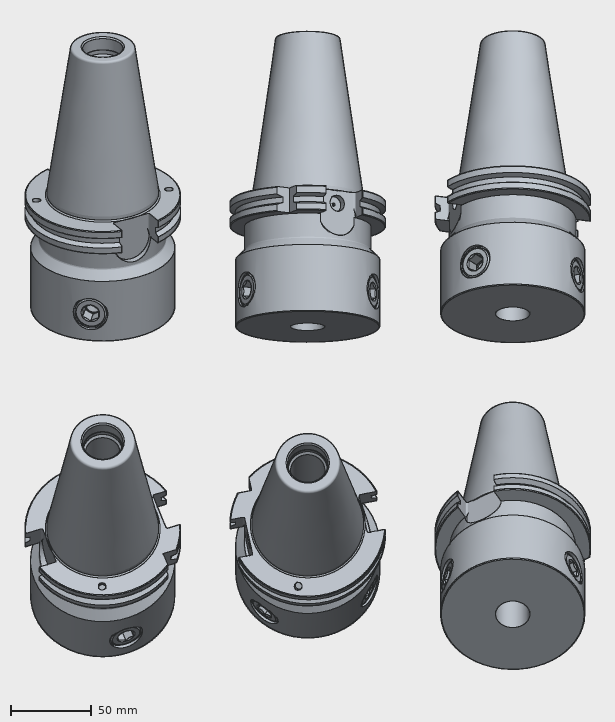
import cadquery as cq
import math

CLEARANCE = 1.8
TOLERANCE = 0.02

TOTAL_HEIGHT = 184.6
GAUGE_HEIGHT = 82.9
FLANGE_TOP = 79.7
FLANGE_BOTTOM = 63.9
GROOVE_HEIGHT = 71.6
BODY_TOP = 42.6

TAPER_RADIUS = 34.9
TAPER_SLOPE = 7 / 48
FLANGE_RADIUS = 48.65
NECK_RADIUS = 39.5
BODY_RADIUS = 45.0
GROOVE_DEPTH = 3.3
GROOVE_FLOOR_HALF = 1.75
GROOVE_MOUTH_HALF = 3.3
SHOULDER_BASE = BODY_TOP + BODY_RADIUS - NECK_RADIUS
EDGE_CHAMFER = 0.5
TIP_FILLET = 1.7
COLLAR_FILLET = 1.0
SHOULDER_FILLET = 1.1

BORE_RADIUS = 10.7
MOUTH_RADIUS = 12.5
MOUTH_CHAMFER = 1.0
MOUTH_DEPTH = 8.9
STEP_RADIUS = 12.2
STEP_DEPTH = 11.6

SLOT_HALF_WIDTH = 13.0
SLOT_FLOOR_LEFT = 37.7
SLOT_FLOOR_RIGHT = 35.3
SLOT_FILLET = 1.1
SLOT_EDGE_CHAMFER = 0.4
POCKET_RADIUS = 5.08
POCKET_DEPTH = 4.6
PILOT_RADIUS = 1.0
PILOT_DEPTH = 1.8

NOTCH_CORNER = 29.5

COOLANT_RADIUS = 2.4
COOLANT_CIRCLE = 41.9
COOLANT_ANGLES = (70, 250)
COOLANT_TILT = 25
COOLANT_DEPTH = 11.0

SCREW_ANGLES = (90, 220, 320)
SCREW_HEIGHT = 19.0
SCREW_RADIUS = 10.0
SCREW_LENGTH = 18.5
SCREW_FACE = 43.8
SCREW_CHAMFER = 1.0
SEAT_MOUTH_RADIUS = 10.9
HEX_ACROSS_FLATS = 10.0
HEX_DEPTH = 9.6
CORE_DEPTH = 10.9
CORE_POINT_ANGLE = 118
HEX_LEAD_RADIUS = 5.9


def rounded(shape, radius, height, fillet):
    """Fillet the circular edge that lies at a given height within a given radius."""
    reach = radius + TOLERANCE
    ring = cq.selectors.BoxSelector(
        (-reach, -reach, height - TOLERANCE), (reach, reach, height + TOLERANCE), True
    )
    return shape.edges(ring).fillet(fillet)


def turned_blank():
    """Taper, flange, neck and cylindrical body as one revolved shape."""
    tip_radius = TAPER_RADIUS - (TOTAL_HEIGHT - GAUGE_HEIGHT) * TAPER_SLOPE
    c = EDGE_CHAMFER
    profile = [
        (0, 0),
        (BODY_RADIUS - c, 0),
        (BODY_RADIUS, c),
        (BODY_RADIUS, BODY_TOP),
        (NECK_RADIUS, SHOULDER_BASE),
        (NECK_RADIUS, FLANGE_BOTTOM),
        (FLANGE_RADIUS - c, FLANGE_BOTTOM),
        (FLANGE_RADIUS, FLANGE_BOTTOM + c),
        (FLANGE_RADIUS, GROOVE_HEIGHT - GROOVE_MOUTH_HALF),
        (FLANGE_RADIUS - GROOVE_DEPTH, GROOVE_HEIGHT - GROOVE_FLOOR_HALF),
        (FLANGE_RADIUS - GROOVE_DEPTH, GROOVE_HEIGHT + GROOVE_FLOOR_HALF),
        (FLANGE_RADIUS, GROOVE_HEIGHT + GROOVE_MOUTH_HALF),
        (FLANGE_RADIUS, FLANGE_TOP - c),
        (FLANGE_RADIUS - c, FLANGE_TOP),
        (TAPER_RADIUS, FLANGE_TOP),
        (TAPER_RADIUS, GAUGE_HEIGHT),
        (tip_radius, TOTAL_HEIGHT),
        (0, TOTAL_HEIGHT),
    ]
    blank = cq.Workplane("XZ").polyline(profile).close().revolve(360, (0, 0), (0, 1))

    blank = rounded(blank, tip_radius, TOTAL_HEIGHT, TIP_FILLET)
    blank = rounded(blank, NECK_RADIUS, SHOULDER_BASE, SHOULDER_FILLET)
    return rounded(blank, TAPER_RADIUS, FLANGE_TOP, COLLAR_FILLET)


def axial_bore():
    """Stepped through bore with a chamfered mouth at the taper's small end."""
    profile = [
        (0, 0),
        (BORE_RADIUS, 0),
        (BORE_RADIUS, TOTAL_HEIGHT - STEP_DEPTH - (STEP_RADIUS - BORE_RADIUS)),
        (STEP_RADIUS, TOTAL_HEIGHT - STEP_DEPTH),
        (STEP_RADIUS, TOTAL_HEIGHT - MOUTH_DEPTH),
        (MOUTH_RADIUS, TOTAL_HEIGHT - MOUTH_DEPTH),
        (MOUTH_RADIUS, TOTAL_HEIGHT - MOUTH_CHAMFER),
        (MOUTH_RADIUS + MOUTH_CHAMFER, TOTAL_HEIGHT),
        (0, TOTAL_HEIGHT),
    ]
    return cq.Workplane("XZ").polyline(profile).close().revolve(360, (0, 0), (0, 1))


def drive_slot(side, floor):
    """Round-bottomed slot; side is -1 for -X and +1 for +X."""
    flange_height = FLANGE_TOP - FLANGE_BOTTOM
    depth = FLANGE_RADIUS - floor + CLEARANCE
    channel = (
        cq.Workplane("XY", origin=(floor, 0, FLANGE_BOTTOM))
        .box(depth, 2 * SLOT_HALF_WIDTH, flange_height, centered=(False, True, False))
        .edges("<X and |Z")
        .fillet(SLOT_FILLET)
    )
    round_end = (
        cq.Workplane("YZ", origin=(floor, 0, FLANGE_BOTTOM)).circle(SLOT_HALF_WIDTH).extrude(depth)
    )
    mouth_half = SLOT_HALF_WIDTH + SLOT_EDGE_CHAMFER
    mouth_x = math.sqrt(FLANGE_RADIUS**2 - mouth_half**2)
    mouth = (
        cq.Workplane("XY", origin=(0, 0, FLANGE_BOTTOM))
        .polyline([
            (mouth_x - SLOT_EDGE_CHAMFER, -SLOT_HALF_WIDTH),
            (mouth_x + CLEARANCE, -mouth_half - CLEARANCE),
            (mouth_x + CLEARANCE, mouth_half + CLEARANCE),
            (mouth_x - SLOT_EDGE_CHAMFER, SLOT_HALF_WIDTH),
        ])
        .close()
        .extrude(flange_height)
    )
    cutter = channel.union(mouth).union(round_end)
    return cutter if side > 0 else cutter.mirror("YZ")


def slot_pocket():
    """Blind hole with a small pilot hole, sunk into the -X slot floor."""
    start = cq.Workplane("YZ", origin=(-SLOT_FLOOR_LEFT, 0, GROOVE_HEIGHT))
    pocket = start.circle(POCKET_RADIUS).extrude(POCKET_DEPTH)
    return pocket.union(start.circle(PILOT_RADIUS).extrude(POCKET_DEPTH + PILOT_DEPTH))


def corner_notch():
    """Square notch through the flange at the (-X, +Y) corner."""
    return cq.Workplane("XY").box(
        FLANGE_RADIUS, FLANGE_RADIUS, FLANGE_TOP - FLANGE_BOTTOM, centered=False
    ).translate((-NOTCH_CORNER - FLANGE_RADIUS, NOTCH_CORNER, FLANGE_BOTTOM))


def coolant_hole(angle):
    """Slanted blind hole that opens on the flange's top face."""
    hole = cq.Workplane("XY").circle(COOLANT_RADIUS).extrude(COOLANT_DEPTH + CLEARANCE)
    return (
        hole.translate((0, 0, -COOLANT_DEPTH))
        .rotate((0, 0, 0), (0, 1, 0), COOLANT_TILT)
        .translate((COOLANT_CIRCLE, 0, FLANGE_TOP))
        .rotate((0, 0, 0), (0, 0, 1), angle)
    )


def placed_radially(shape, angle):
    """Turn a shape built along +X at Z = 0 to its angle and screw height."""
    return shape.translate((0, 0, SCREW_HEIGHT)).rotate((0, 0, 0), (0, 0, 1), angle)


def screw_seat(angle):
    """Blind hole for one clamping screw, counterbored at its mouth."""
    bottom = SCREW_FACE - SCREW_LENGTH
    counterbore_floor = SCREW_FACE - SCREW_CHAMFER
    hole = cq.Workplane("YZ", origin=(bottom, 0, 0)).circle(SCREW_RADIUS).extrude(SCREW_LENGTH)
    counterbore = (
        cq.Workplane("YZ", origin=(counterbore_floor, 0, 0))
        .circle(SEAT_MOUTH_RADIUS)
        .extrude(BODY_RADIUS - counterbore_floor + CLEARANCE)
    )
    return placed_radially(hole.union(counterbore), angle)


def clamping_screw(angle):
    """Grub screw with a hexagon socket in its outer face."""
    hex_radius = HEX_ACROSS_FLATS / 2
    hex_diameter = HEX_ACROSS_FLATS / math.cos(math.radians(30))
    core_floor = SCREW_FACE - CORE_DEPTH
    lead_start = SCREW_FACE - (HEX_LEAD_RADIUS - hex_radius)
    point_depth = hex_radius / math.tan(math.radians(CORE_POINT_ANGLE / 2))
    screw = (
        cq.Workplane("YZ", origin=(SCREW_FACE - SCREW_LENGTH, 0, 0))
        .circle(SCREW_RADIUS)
        .extrude(SCREW_LENGTH)
        .faces(">X")
        .chamfer(SCREW_CHAMFER)
    )
    socket = (
        cq.Workplane("YZ", origin=(SCREW_FACE - HEX_DEPTH, 0, 0))
        .transformed(rotate=(0, 0, 90))
        .polygon(6, hex_diameter)
        .extrude(HEX_DEPTH)
    )
    core = (
        cq.Workplane("XY")
        .polyline([
            (core_floor - point_depth, 0),
            (core_floor, hex_radius),
            (lead_start, hex_radius),
            (SCREW_FACE, HEX_LEAD_RADIUS),
            (SCREW_FACE, 0),
        ])
        .close()
        .revolve(360, (0, 0), (1, 0))
    )
    return placed_radially(screw.cut(socket).cut(core), angle)


def tool_holder():
    holder = turned_blank().cut(axial_bore())
    holder = holder.cut(drive_slot(-1, SLOT_FLOOR_LEFT))
    holder = holder.cut(drive_slot(1, SLOT_FLOOR_RIGHT))
    holder = holder.cut(slot_pocket()).cut(corner_notch())
    for angle in COOLANT_ANGLES:
        holder = holder.cut(coolant_hole(angle))
    for angle in SCREW_ANGLES:
        holder = holder.cut(screw_seat(angle))
    return holder


holder = tool_holder()
screws = [clamping_screw(angle) for angle in SCREW_ANGLES]
result = cq.Compound.makeCompound([holder.val()] + [screw.val() for screw in screws])